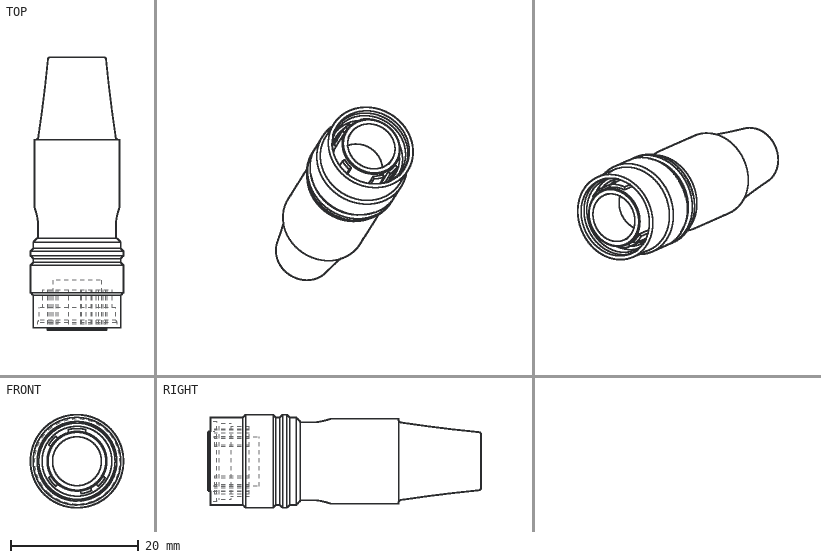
import cadquery as cq
import math


LENGTH = 43.0

INSERT_RADIUS = 4.7
INSERT_CHAMFER = 0.15
INSERT_BORE_RADIUS = 3.85
INSERT_BORE_DEPTH = 8.0

SLEEVE_FACE_Y = 0.4
SLEEVE_RADIUS = 6.9
GRIP_RADIUS = 7.35
GRIP_STEP = GRIP_RADIUS - SLEEVE_RADIUS
GRIP_FRONT_Y = 5.5
GRIP_BACK_Y = 10.7
RIB_FRONT_Y = 11.3
RIB_BACK_Y = 12.9
SLEEVE_BACK_Y = 14.5
SLEEVE_BACK_CHAMFER = 0.6

SOCKET_MOUTH_RADIUS = 6.27
SOCKET_RADIUS = 6.0
SOCKET_INNER_RADIUS = 5.5
SOCKET_MOUTH_DEPTH = 0.9
SOCKET_TAPER_DEPTH = 0.4
SOCKET_STEP_DEPTH = 3.2
SOCKET_DEPTH = 6.0

KEY_RADIUS = 5.15
KEY_FRONT_Y = 1.0
WIDE_KEY_WIDTH = 2.7
NARROW_KEY_WIDTH = 1.7
KEYS = [
    (90, WIDE_KEY_WIDTH),
    (140, NARROW_KEY_WIDTH),
    (220, NARROW_KEY_WIDTH),
    (287, NARROW_KEY_WIDTH),
    (320, NARROW_KEY_WIDTH),
]

NECK_RADIUS = 6.15
BARREL_RADIUS = 6.7
NECK_END_Y = 17.0
BARREL_START_Y = 19.35
FLARE_SAG = 0.06
BARREL_END_Y = 30.0
BARREL_END_LAND = 0.1

BOOT_FILLET = 0.5
BOOT_ROOT_RADIUS = BARREL_RADIUS - BARREL_END_LAND - BOOT_FILLET
BOOT_TIP_RADIUS = 4.6
BOOT_TIP_ROUND = 0.4
BOOT_SAG = 0.08


def make_body():
    """Solid of revolution bounded by the outer contour of the connector."""
    flare_mid_y = (NECK_END_Y + BARREL_START_Y) / 2
    flare_mid_r = (NECK_RADIUS + BARREL_RADIUS) / 2 - FLARE_SAG

    diagonal = math.cos(math.pi / 4)
    boot_root_y = BARREL_END_Y + BOOT_FILLET
    boot_end_y = LENGTH - BOOT_TIP_ROUND
    boot_mid_r = (BOOT_ROOT_RADIUS + BOOT_TIP_RADIUS) / 2 - BOOT_SAG
    boot_mid_y = (boot_root_y + boot_end_y) / 2
    tip_face_radius = BOOT_TIP_RADIUS - BOOT_TIP_ROUND

    profile = (
        cq.Workplane("XY")
        .moveTo(0, 0)
        .lineTo(INSERT_RADIUS - INSERT_CHAMFER, 0)
        .lineTo(INSERT_RADIUS, INSERT_CHAMFER)
        .lineTo(INSERT_RADIUS, SLEEVE_FACE_Y)
        .lineTo(SLEEVE_RADIUS, SLEEVE_FACE_Y)
        .lineTo(SLEEVE_RADIUS, GRIP_FRONT_Y)
        .lineTo(GRIP_RADIUS, GRIP_FRONT_Y + GRIP_STEP)
        .lineTo(GRIP_RADIUS, GRIP_BACK_Y - GRIP_STEP)
        .lineTo(SLEEVE_RADIUS, GRIP_BACK_Y)
        .lineTo(SLEEVE_RADIUS, RIB_FRONT_Y)
        .lineTo(GRIP_RADIUS, RIB_FRONT_Y + GRIP_STEP)
        .lineTo(GRIP_RADIUS, RIB_BACK_Y - GRIP_STEP)
        .lineTo(SLEEVE_RADIUS, RIB_BACK_Y)
        .lineTo(SLEEVE_RADIUS, SLEEVE_BACK_Y - SLEEVE_BACK_CHAMFER)
        .lineTo(SLEEVE_RADIUS - SLEEVE_BACK_CHAMFER, SLEEVE_BACK_Y)
        .lineTo(NECK_RADIUS, SLEEVE_BACK_Y)
        .lineTo(NECK_RADIUS, NECK_END_Y)
        .threePointArc((flare_mid_r, flare_mid_y), (BARREL_RADIUS, BARREL_START_Y))
        .lineTo(BARREL_RADIUS, BARREL_END_Y)
        .lineTo(BARREL_RADIUS - BARREL_END_LAND, BARREL_END_Y)
        .threePointArc(
            (
                BARREL_RADIUS - BARREL_END_LAND - BOOT_FILLET * diagonal,
                boot_root_y - BOOT_FILLET * diagonal,
            ),
            (BOOT_ROOT_RADIUS, boot_root_y),
        )
        .threePointArc((boot_mid_r, boot_mid_y), (BOOT_TIP_RADIUS, boot_end_y))
        .threePointArc(
            (
                tip_face_radius + BOOT_TIP_ROUND * diagonal,
                boot_end_y + BOOT_TIP_ROUND * diagonal,
            ),
            (tip_face_radius, LENGTH),
        )
        .lineTo(0, LENGTH)
        .close()
    )
    return profile.revolve(360, (0, 0, 0), (0, 1, 0))


def make_socket():
    """Stepped annular cavity that surrounds the insert."""
    taper_start_y = SLEEVE_FACE_Y + SOCKET_MOUTH_DEPTH
    taper_end_y = taper_start_y + SOCKET_TAPER_DEPTH
    step_y = SLEEVE_FACE_Y + SOCKET_STEP_DEPTH
    floor_y = SLEEVE_FACE_Y + SOCKET_DEPTH
    profile = (
        cq.Workplane("XY")
        .moveTo(INSERT_RADIUS, SLEEVE_FACE_Y)
        .lineTo(SOCKET_MOUTH_RADIUS, SLEEVE_FACE_Y)
        .lineTo(SOCKET_MOUTH_RADIUS, taper_start_y)
        .lineTo(SOCKET_RADIUS, taper_end_y)
        .lineTo(SOCKET_RADIUS, step_y)
        .lineTo(SOCKET_INNER_RADIUS, step_y)
        .lineTo(SOCKET_INNER_RADIUS, floor_y)
        .lineTo(INSERT_RADIUS, floor_y)
        .close()
    )
    return profile.revolve(360, (0, 0, 0), (0, 1, 0))


def cylinder(radius, start_y, end_y):
    """Cylinder on the connector axis."""
    return cq.Workplane("XZ", origin=(0, start_y, 0)).circle(radius).extrude(start_y - end_y)


def make_key(angle, width):
    """Parallel-sided key with a round top, rising from the insert wall to the socket floor."""
    floor_y = SLEEVE_FACE_Y + SOCKET_DEPTH
    inner_radius = (INSERT_RADIUS + INSERT_BORE_RADIUS) / 2
    bar = (
        cq.Workplane("XY")
        .box(SOCKET_INNER_RADIUS - inner_radius, floor_y - KEY_FRONT_Y, width, centered=(False, False, True))
        .translate((inner_radius, KEY_FRONT_Y, 0))
        .rotate((0, 0, 0), (0, 1, 0), -angle)
    )
    return bar.intersect(cylinder(KEY_RADIUS, KEY_FRONT_Y, floor_y))


result = make_body().cut(make_socket())
for key_angle, key_width in KEYS:
    result = result.union(make_key(key_angle, key_width))
result = result.cut(cylinder(INSERT_BORE_RADIUS, 0, INSERT_BORE_DEPTH))